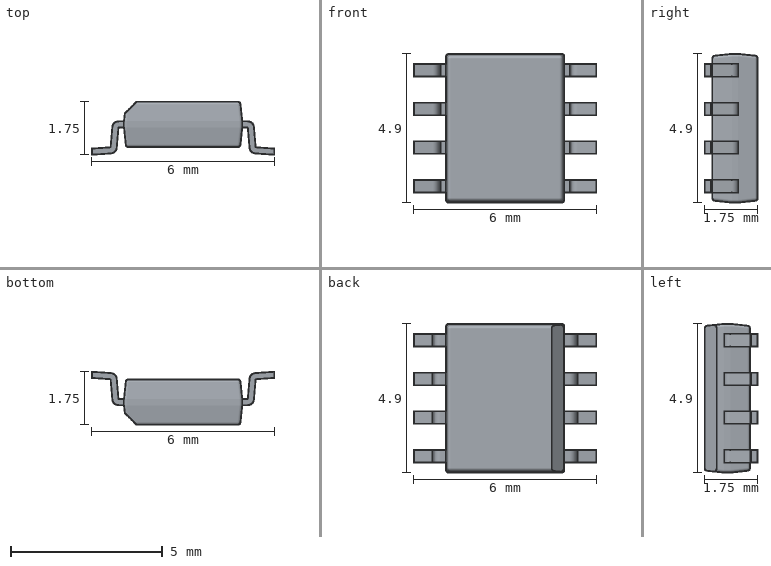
import cadquery as cq
import math

OVERALL_WIDTH = 6.0
OVERALL_DEPTH = 1.75

CASE_WIDTH = 3.9
CASE_HEIGHT = 4.9
CASE_DEPTH = 1.5
DRAFT_ANGLE = 6.0
EDGE_RADIUS = 0.1
INDEX_CHAMFER = 0.355

LEAD_THICKNESS = 0.21
LEAD_WIDTH = 0.42
LEAD_PITCH = 1.27
LEADS_PER_SIDE = 4
SHOULDER_X = 2.125
LEG_ANGLE = 5.0
FOOT_ANGLE = 4.0

BAND_HALF = LEAD_THICKNESS / 2
TAPER_DEPTH = CASE_DEPTH / 2 - BAND_HALF
BACK_Y = CASE_DEPTH / 2


def make_tapered_half(direction):
    """One drafted half of the case, on the +Y (1) or -Y (-1) side of the band."""
    plane = cq.Plane(origin=(0, direction * BAND_HALF, 0), xDir=(1, 0, 0), normal=(0, direction, 0))
    return cq.Workplane(plane).rect(CASE_WIDTH, CASE_HEIGHT).extrude(TAPER_DEPTH, taper=DRAFT_ANGLE)


def make_index_cutter():
    """Triangular prism that removes the bevel along the -X back edge."""
    back_inset = TAPER_DEPTH * math.tan(math.radians(DRAFT_ANGLE))
    edge_x = back_inset - CASE_WIDTH / 2
    return (
        cq.Workplane("XY")
        .moveTo(edge_x + 2 * INDEX_CHAMFER, BACK_Y + INDEX_CHAMFER)
        .lineTo(edge_x - INDEX_CHAMFER, BACK_Y + INDEX_CHAMFER)
        .lineTo(edge_x - INDEX_CHAMFER, BACK_Y - 2 * INDEX_CHAMFER)
        .close()
        .extrude(CASE_HEIGHT / 2, both=True)
    )


def make_case():
    """Drafted block with rounded edges and the index bevel."""
    band = cq.Workplane("XY").box(CASE_WIDTH, LEAD_THICKNESS, CASE_HEIGHT)
    block = band.union(make_tapered_half(1)).union(make_tapered_half(-1))
    end_edges = block.faces("<Y or >Y").edges()
    corner_edges = block.edges("not(#Y)")
    rounded = corner_edges.add(end_edges).fillet(EDGE_RADIUS)
    return rounded.cut(make_index_cutter())


def offset_point(point, length, angle):
    """Point at a distance and a direction (degrees from +X) from another point."""
    direction = math.radians(angle)
    return (point[0] + length * math.cos(direction), point[1] + length * math.sin(direction))


def make_lead():
    """Gull-wing lead on the +X side, centred on Z = 0; both bends have sharp inner corners."""
    shoulder = (SHOULDER_X, -BAND_HALF)
    tip_x = OVERALL_WIDTH / 2
    tip_bottom_y = BACK_Y - OVERALL_DEPTH
    foot_slope = math.tan(math.radians(FOOT_ANGLE))
    tip_top_y = tip_bottom_y + LEAD_THICKNESS / math.cos(math.radians(FOOT_ANGLE))
    leg_start = offset_point(shoulder, LEAD_THICKNESS, LEG_ANGLE)
    leg_slope = math.tan(math.radians(LEG_ANGLE))
    foot_y_at_leg = tip_top_y + foot_slope * (tip_x - leg_start[0])
    leg_drop = (leg_start[1] - foot_y_at_leg) / (1 - foot_slope * leg_slope)
    heel = (leg_start[0] + leg_drop * leg_slope, leg_start[1] - leg_drop)

    shoulder_mid_angle = (90 + LEG_ANGLE) / 2
    leg_end_angle = 180 + LEG_ANGLE
    foot_start_angle = 270 - FOOT_ANGLE
    heel_mid_angle = (leg_end_angle + foot_start_angle) / 2
    return (
        cq.Workplane("XY")
        .moveTo(CASE_WIDTH / 2, BAND_HALF)
        .lineTo(SHOULDER_X, BAND_HALF)
        .threePointArc(offset_point(shoulder, LEAD_THICKNESS, shoulder_mid_angle), leg_start)
        .lineTo(*heel)
        .lineTo(tip_x, tip_top_y)
        .lineTo(tip_x, tip_bottom_y)
        .lineTo(*offset_point(heel, LEAD_THICKNESS, foot_start_angle))
        .threePointArc(
            offset_point(heel, LEAD_THICKNESS, heel_mid_angle),
            offset_point(heel, LEAD_THICKNESS, leg_end_angle),
        )
        .lineTo(*shoulder)
        .lineTo(CASE_WIDTH / 2, -BAND_HALF)
        .close()
        .extrude(LEAD_WIDTH / 2, both=True)
    )


def make_leads():
    """All leads as separate solids, one row on each X side."""
    right_lead = make_lead()
    left_lead = right_lead.mirror("YZ")
    leads = []
    for index in range(LEADS_PER_SIDE):
        z = (index - (LEADS_PER_SIDE - 1) / 2) * LEAD_PITCH
        for lead in (left_lead, right_lead):
            leads.append(lead.translate((0, 0, z)).val())
    return leads


case = make_case()
leads = make_leads()

result = cq.Compound.makeCompound([case.val(), *leads])